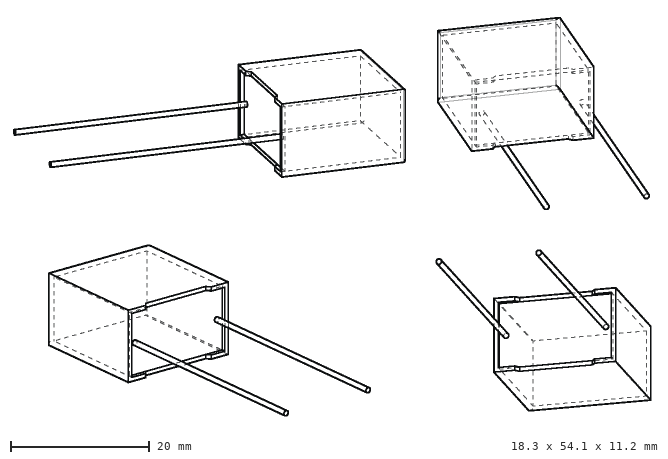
import cadquery as cq

total_length = 54.1
case_width = 18.3
case_height = 11.2
case_length = 19.1
wall = 0.65
back_edge_radius = 0.5

relief_depth = 0.65
relief_mouth_width = 12.0
relief_floor_width = 10.95

lead_diameter = 0.8
lead_pitch = 15.0

cavity_width = case_width - 2 * wall
cavity_height = case_height - 2 * wall
fill_face_y = relief_depth
fill_back_y = case_length - wall
lead_tip_y = case_length - total_length


def block(width, height, front_y, back_y):
    """Rectangular block centred on X and Z, running from front_y to back_y."""
    return cq.Workplane("XY").box(
        width, back_y - front_y, height, centered=(True, False, True)
    ).translate((0, front_y, 0))


def make_case():
    """Box open at Y = 0, with a rounded closed end and relieved top and bottom walls."""
    shell = block(case_width, case_height, 0, case_length)
    shell = shell.faces(">Y").edges().fillet(back_edge_radius)
    cavity = block(cavity_width, cavity_height, 0, fill_back_y)
    relief = (
        cq.Workplane("XY")
        .polyline([
            (-relief_mouth_width / 2, 0),
            (relief_mouth_width / 2, 0),
            (relief_floor_width / 2, relief_depth),
            (-relief_floor_width / 2, relief_depth),
        ])
        .close()
        .extrude(case_height / 2, both=True)
    )
    return shell.cut(cavity).cut(relief)


def make_fill():
    """Potting that fills the cavity up to the floor of the relief."""
    return block(cavity_width, cavity_height, fill_face_y, fill_back_y)


def make_lead(x):
    """Straight round wire standing on the face of the potting."""
    return (
        cq.Workplane("XZ", origin=(x, fill_face_y, 0))
        .circle(lead_diameter / 2)
        .extrude(fill_face_y - lead_tip_y)
    )


case = make_case()
fill = make_fill()
leads = [make_lead(side * lead_pitch / 2) for side in (-1, 1)]

result = cq.Compound.makeCompound([case.val(), fill.val(), *[lead.val() for lead in leads]])